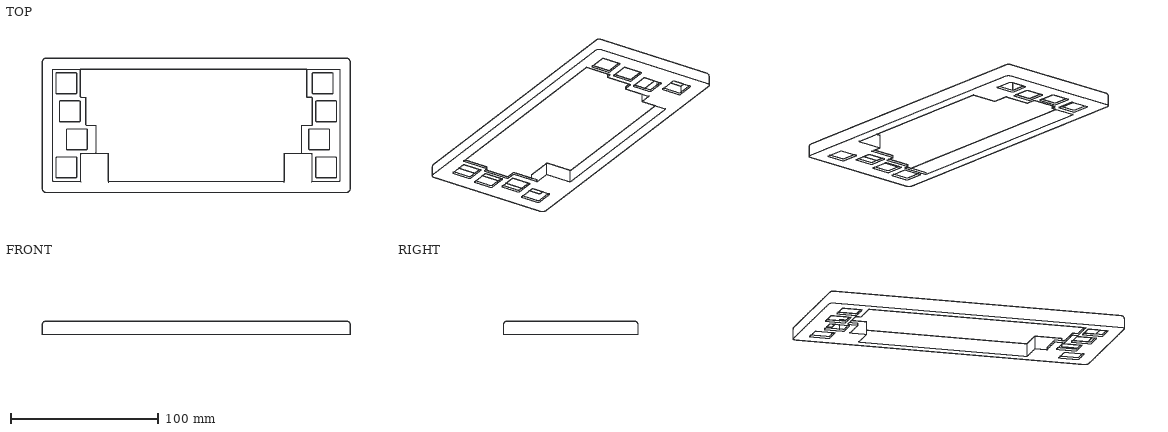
import cadquery as cq

LENGTH = 209.3
DEPTH = 91.5
HEIGHT = 9.2
CORNER_RADIUS = 3.0
TOP_FILLET = 2.5

PITCH = 19.0
ROWS = 4
KEY_HOLE = 14.0

SIDE_WALL = 7.0
OPENING_LENGTH = LENGTH - 2 * SIDE_WALL
OPENING_DEPTH = ROWS * PITCH
OPENING_RADIUS = 0.8
RIM_FILLET = 0.6
END_WALL = OPENING_LENGTH / 2
BACK_WALL = OPENING_DEPTH / 2

PLATE_THICKNESS = 1.5
PLATE_RADIUS = 0.5
NARROW_PLATE = PITCH
LEFT_ROWS = [(1.0, NARROW_PLATE), (1.25, 22.8), (1.75, 29.7), (1.0, NARROW_PLATE)]
RIGHT_ROWS = [(1.25, 22.8), (1.0, NARROW_PLATE), (1.5, 26.4), (1.0, NARROW_PLATE)]

OVERLAP = 1.0


def span_box(x_limits, y_limits, height):
    """Box standing on the base plane between the given limits, in either order."""
    x_start, x_end = sorted(x_limits)
    y_start, y_end = sorted(y_limits)
    box = cq.Workplane("XY").box(x_end - x_start, y_end - y_start, height, centered=False)
    return box.translate((x_start, y_start, 0))


def outer_body():
    """Solid slab with rounded corners and a rounded top edge."""
    slab = cq.Workplane("XY").box(LENGTH, DEPTH, HEIGHT, centered=(True, True, False))
    return slab.edges("|Z").fillet(CORNER_RADIUS).faces(">Z").edges().fillet(TOP_FILLET)


def corner_block(side):
    """Full-height block in the front row, one cell in from the end wall."""
    outer_x = side * (END_WALL - PITCH)
    inner_x = side * (END_WALL - 2 * PITCH)
    return span_box((outer_x, inner_x), (-BACK_WALL - OVERLAP, PITCH - BACK_WALL), HEIGHT)


def opening():
    """Through opening with rounded corners that leaves the two blocks standing."""
    hole = cq.Workplane("XY").box(OPENING_LENGTH, OPENING_DEPTH, HEIGHT, centered=(True, True, False))
    hole = hole.edges("|Z").fillet(OPENING_RADIUS)
    return hole.cut(corner_block(-1)).cut(corner_block(1))


def round_rim(frame):
    """Round the top edge of the opening, except on the block faces that look to the middle."""
    rim = cq.selectors.BoxSelector(
        (-END_WALL - OVERLAP, -BACK_WALL - OVERLAP, HEIGHT - OVERLAP),
        (END_WALL + OVERLAP, BACK_WALL + OVERLAP, HEIGHT + OVERLAP),
    )
    for side in (-1, 1):
        face_x = side * (END_WALL - 2 * PITCH)
        rim = rim - cq.selectors.BoxSelector(
            (face_x - OVERLAP, -BACK_WALL, HEIGHT - OVERLAP),
            (face_x + OVERLAP, PITCH - BACK_WALL, HEIGHT + OVERLAP),
        )
    return frame.edges(rim).fillet(RIM_FILLET)


def key_plate(rows, side):
    """Thin stepped plate along one end wall, with a square hole for each key."""
    plate = cq.Workplane("XY")
    holes = cq.Workplane("XY")
    for index, (key_units, reach) in enumerate(rows):
        y_back = BACK_WALL - index * PITCH
        y_front = y_back - PITCH
        key_x = side * (END_WALL - key_units * PITCH / 2)
        key_y = (y_back + y_front) / 2
        hole = cq.Workplane("XY").box(KEY_HOLE, KEY_HOLE, PLATE_THICKNESS, centered=(True, True, False))
        holes = holes.union(hole.translate((key_x, key_y, 0)))
        if index == 0:
            y_back += OVERLAP
        if index == ROWS - 1:
            y_front -= OVERLAP
            reach += OVERLAP
        x_limits = (side * (END_WALL + OVERLAP), side * (END_WALL - reach))
        plate = plate.union(span_box(x_limits, (y_front, y_back), PLATE_THICKNESS))
    rounded_plate = plate.edges("|Z").fillet(PLATE_RADIUS)
    return rounded_plate.cut(holes.edges("|Z").fillet(PLATE_RADIUS))


frame = round_rim(outer_body().cut(opening()))
result = frame.union(key_plate(LEFT_ROWS, -1)).union(key_plate(RIGHT_ROWS, 1))